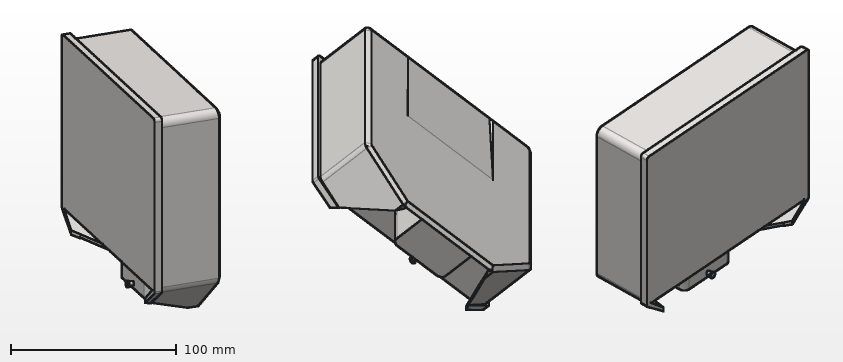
import cadquery as cq
import math

lid_width = 145.0
depth = 45.0
height = 143.0

wall = 2.0
lid_depth = 5.0
lid_corner_radius = wall
box_corner_radius = 5.1
box_width = lid_width - 2 * wall
box_top = height - wall
shoulder_z = 29.1
box_lower_width = 74.8
lid_lower_width = 72.5
shoulder_run = (box_width - box_lower_width) / 2

bevel_depth = 2.0
bevel_inset = 3.5

recess_ceiling_z = 29.9
recess_end_y = depth - wall
slope_wall = 1.7

trim_front_width = 115.1
trim_back_width = 68.7
level_trim_z = 0.51

relief_width = 72.2
relief_floor_width = 70.2
relief_angle = 2.0
relief_depth = bevel_depth
relief_height = relief_depth / math.tan(math.radians(relief_angle))

block_width = 41.8
block_front_y = 16.2
block_corner_radius = 4.0
block_bottom_z = wall
pin_z = 5.2
pin_radius = 1.5
pin_head_radius = 2.0
pin_head_length = 1.0
pin_front_y = 12.2


def facing_back(y):
    """Workplane at the given Y that extrudes towards the back; its local axes are -X and Z."""
    return cq.Workplane(cq.Plane(origin=(0, y, 0), xDir=(-1, 0, 0), normal=(0, 1, 0)))


def panel(width, lower_width, top, start_y, end_y, corner_radius):
    """Plate with sloping sides below the shoulders, its top corners and shoulders rounded."""
    outline = [
        (-width / 2, top),
        (width / 2, top),
        (width / 2, shoulder_z),
        (lower_width / 2, 0),
        (-lower_width / 2, 0),
        (-width / 2, shoulder_z),
    ]
    body = facing_back(start_y).polyline(outline).close().extrude(end_y - start_y)
    upper_part = cq.selectors.BoxSelector((-width, 0, shoulder_z / 2), (width, depth, 2 * height))
    return body.edges("|Y").edges(upper_part).fillet(corner_radius)


def bevelled_box():
    """Box whose back end tapers inward all round."""
    shoulder_y = depth - bevel_depth
    box = panel(box_width, box_lower_width, box_top, lid_depth, shoulder_y, box_corner_radius)
    taper = math.degrees(math.atan(bevel_inset / bevel_depth))
    back_outline = box.faces(">Y").wires().toPending().workplane()
    bevel = back_outline.extrude(bevel_depth, taper=taper, combine=False)
    return box.union(bevel)


def recess():
    """Space between the sloping walls, which keep an even thickness; open in front and below."""
    slope_length = math.hypot(shoulder_run, shoulder_z)
    bottom_half = box_lower_width / 2 - slope_wall * slope_length / shoulder_z
    ceiling_half = bottom_half + recess_ceiling_z * shoulder_run / shoulder_z
    outline = [
        (-bottom_half, 0),
        (bottom_half, 0),
        (ceiling_half, recess_ceiling_z),
        (-ceiling_half, recess_ceiling_z),
    ]
    return facing_back(0).polyline(outline).close().extrude(recess_end_y)


def wall_trim():
    """Cut that shortens the sloping walls towards the front and levels their lower edges."""
    plan = [
        (-trim_front_width / 2, 0),
        (trim_front_width / 2, 0),
        (trim_back_width / 2, recess_end_y),
        (-trim_back_width / 2, recess_end_y),
    ]
    upright = cq.Workplane("XY").polyline(plan).close().extrude(recess_ceiling_z)
    level = cq.Workplane("XY").rect(lid_width, 2 * recess_end_y).extrude(level_trim_z)
    return upright.union(level)


def back_relief():
    """Wedge that is deepest at the top and runs out on the back face."""
    floor_y = depth - relief_depth
    plan = [
        (-relief_floor_width / 2, floor_y),
        (relief_floor_width / 2, floor_y),
        (relief_width / 2, depth),
        (-relief_width / 2, depth),
    ]
    profile = [(floor_y, box_top), (depth, box_top), (depth, box_top - relief_height)]
    column = cq.Workplane("XY").polyline(plan).close().extrude(box_top)
    wedge = cq.Workplane("YZ").polyline(profile).close().extrude(relief_width / 2, both=True)
    return column.intersect(wedge)


def connector_block():
    block_length = recess_end_y - block_front_y
    block = (
        cq.Workplane("XY", origin=(0, block_front_y + block_length / 2, block_bottom_z))
        .rect(block_width, block_length)
        .extrude(recess_ceiling_z - block_bottom_z)
    )
    return block.edges("|Z and <Y").fillet(block_corner_radius)


def pin():
    base = facing_back(pin_front_y).center(0, pin_z)
    shank = base.circle(pin_radius).extrude(block_front_y - pin_front_y)
    head = base.circle(pin_head_radius).extrude(pin_head_length)
    return shank.union(head)


lid = panel(lid_width, lid_lower_width, height, 0, lid_depth, lid_corner_radius)
housing = lid.union(bevelled_box()).cut(recess()).cut(wall_trim()).cut(back_relief())
result = housing.union(connector_block()).union(pin())